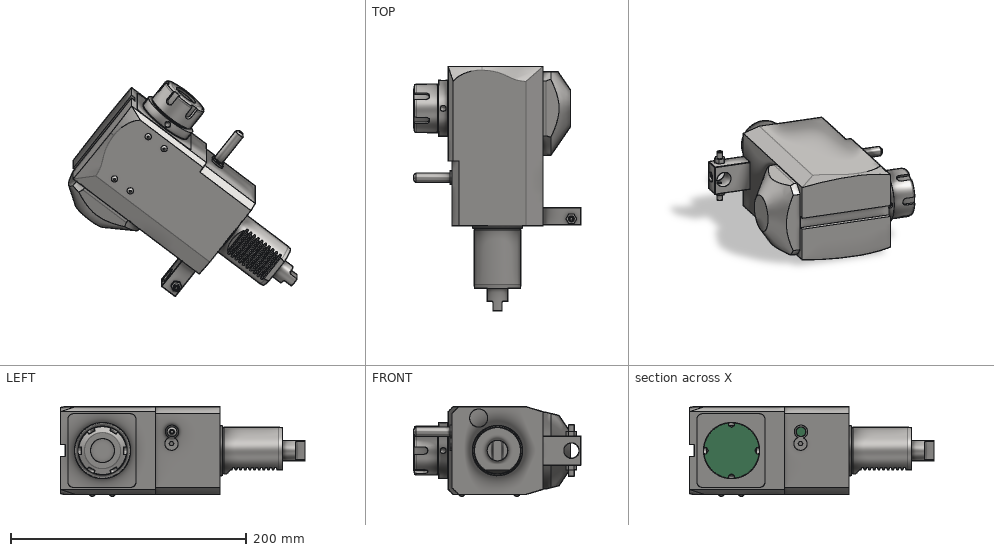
import cadquery as cq
import math


OVERALL_LENGTH = 208.0
BODY_LENGTH = 135.8
BODY_HALF_HEIGHT = 37.5
BODY_RIGHT = 39.0
FRONT_LEFT = -39.0
FRONT_LENGTH = 55.1
FRONT_CHAMFER = 6.0
REAR_LEFT = -42.0
REAR_CHAMFER = 4.4
TAPER_START = 24.1
TAPER_DROP = 4.4
PLATE_BACK = 129.5
PLATE_FRONT = 71.5
PLATE_HALF_HEIGHT = 31.5
PLATE_CORNER = 5.0
PLATE_DEPTH = 0.2

CROWN_DEPTH = 13.0
CROWN_REAR_LEFT = (-28.0, 35.5)
CROWN_REAR_PEAK = (-13.3, 36.6)
CROWN_REAR_RIGHT = (12.5, 36.0)
CROWN_INNER_LEFT = (-25.4, 40.0)
CROWN_INNER_PEAK = (-13.3, 40.0)
CROWN_INNER_RIGHT = (5.5, 38.3)

NOTCH_WIDTH = 10.0
NOTCH_DEPTH = 4.0
PLUG_X = -16.0
PLUG_Z = 27.7
PLUG_RADIUS = 7.7
PLUG_DEPTH = 0.5

SHANK_RADIUS = 20.0
SHANK_END = -53.0
SHANK_TAPER = 3.3
SHANK_END_RADIUS = 19.5
RING_RADIUS = 21.5
RING_WIDTH = 1.9
NECK_RADIUS = 19.5
NECK_END = -3.3
RACK_FLAT = -16.5
RACK_START = -9.0
TOOTH_COUNT = 10
TOOTH_PITCH = 4.0
TOOTH_DEPTH = 1.9
GROOVE_TOP = 3.0
GROOVE_BOTTOM = 1.2
FIRST_GROOVE = -11.5
TANG_RADIUS = 8.7
TANG_END = BODY_LENGTH - OVERALL_LENGTH
BLADE_START = -64.0
BLADE_HALF_WIDTH = 4.0
BLADE_FILLET = 1.2

SPINDLE_Y = 100.0
COLLAR_RADIUS = 24.0
COLLAR_FACE = -50.1
COLLAR_BACK = -42.5
COLLAR_NECK = 23.3
COLLAR_HOLE_X = -46.2
COLLAR_HOLE_RADIUS = 2.5
COLLAR_HOLE_DEPTH = 2.5
COLLAR_HOLE_POINT = 1.5
COLLAR_HOLES = 4
NUT_RADIUS = 20.8
NUT_BACK = -51.2
NUT_NECK = 19.5
NUT_TIP = -71.5
NUT_FACE_RADIUS = 15.4
NUT_RIM_RADIUS = 20.4
NUT_RIM_X = -70.5
NUT_EDGE_X = -69.0
BORE_RADIUS = 10.2
BORE_DEPTH = 2.0
NUT_SLOT_ANGLES = (-90, -30, 30, 90, 150, 210)
NUT_SLOT_WIDTH = 6.2
NUT_SLOT_END = -59.3
UPPER_SLOT_END = -57.8
NUT_SLOT_FLOOR = 17.9

CAP_RADIUS = 40.1
CAP_CONE_START = 45.3
CAP_END = 62.2
CAP_END_RADIUS = 15.5
CAP_REAR_FLAT = 31.2
CAP_SIDE = 32.7
CAP_SLOPE_START = 41.4
CAP_SIDE_END = 27.5

BRACKET_END = 71.1
BRACKET_HALF_HEIGHT = 12.5
BRACKET_FRONT = 0.8
BRACKET_BACK = 15.8
STUD_X = 62.8
STUD_Y = 6.0
BRACKET_CHAMFER = 0.5
BRACKET_HOLE_RADIUS = 6.5
CROSS_HOLE_RADIUS = 4.2
STUD_POCKET_RADIUS = 1.5
STUD_POCKET_DEPTH = 1.2
HEX_NUT_SIZE = 9.2
HEX_NUT_HEIGHT = 4.0
STUD_RADIUS = 2.5
STUD_END = 22.0
STUD_CHAMFER = 0.5
STUD_SOCKET = 2.5
SOCKET_DEPTH = 1.2

PIN_Y = 41.0
PIN_Z = 16.0
PIN_RADIUS = 4.2
PIN_TIP = -71.5
PIN_CHAMFER = 2.0
PIN_SOCKET = 3.0
HEAD_RADIUS = 5.6
HEAD_HEIGHT = 1.7
LOCK_Y = 41.4
LOCK_Z = 5.8
LOCK_SOCKET = 4.0

FOOT_X = (-30.4, 16.5)
FOOT_Y = (91.7, 108.8)
FOOT_RADIUS = 2.7
FOOT_TIP_RADIUS = 0.8
FOOT_HEIGHT = 1.7


def prism(section, start, end):
    """Extrude a closed list of (x, z) points from y = start to y = end."""
    return cq.Workplane("XZ", origin=(0, start, 0)).polyline(section).close().extrude(start - end)


def box(x_range, y_range, z_range):
    size = [high - low for low, high in (x_range, y_range, z_range)]
    corner = (x_range[0], y_range[0], z_range[0])
    return cq.Workplane("XY").box(*size, centered=False).translate(corner)


def turned_x(profile, y=0, z=0):
    """Revolve a list of (x, radius) points about an axis parallel to X."""
    solid = cq.Workplane("XY").polyline(profile).close().revolve(360, (0, 0, 0), (1, 0, 0))
    return solid.translate((0, y, z))


def hex_socket_x(face_x, y, z, size):
    plane = cq.Workplane("YZ", origin=(face_x, y, z))
    return plane.polygon(6, size).extrude(SOCKET_DEPTH)


def housing_section(left, chamfer):
    top = BODY_HALF_HEIGHT
    upper = [
        (left, top - chamfer),
        (left + chamfer, top),
        (TAPER_START, top),
        (BODY_RIGHT, top - TAPER_DROP),
    ]
    return upper + [(x, -z) for x, z in reversed(upper)]


def crown_cutter():
    """Ruled cut that rounds the upper rear edge, from the rear face to the flat top."""
    top = BODY_HALF_HEIGHT
    outside = 2 * BODY_RIGHT
    rear_edge = (
        0,
        (REAR_LEFT, top - REAR_CHAMFER),
        CROWN_REAR_LEFT,
        CROWN_REAR_PEAK,
        CROWN_REAR_RIGHT,
        (BODY_RIGHT, top - TAPER_DROP),
    )
    inner_edge = (
        CROWN_DEPTH,
        (REAR_LEFT + REAR_CHAMFER, top),
        CROWN_INNER_LEFT,
        CROWN_INNER_PEAK,
        CROWN_INNER_RIGHT,
        (TAPER_START, top),
    )
    wires = []
    for depth, left, left_middle, peak, right_middle, right in (rear_edge, inner_edge):
        outline = (
            cq.Workplane("XZ", origin=(0, BODY_LENGTH - depth, 0))
            .moveTo(-outside, left[1])
            .lineTo(*left)
            .threePointArc(left_middle, peak)
            .threePointArc(right_middle, right)
            .lineTo(outside, right[1])
            .lineTo(outside, outside)
            .lineTo(-outside, outside)
            .close()
        )
        wires.append(outline.val())
    return cq.Workplane(obj=cq.Solid.makeLoft(wires, True))


def housing():
    body = prism(housing_section(FRONT_LEFT, FRONT_CHAMFER), 0, FRONT_LENGTH)
    body = body.union(prism(housing_section(REAR_LEFT, REAR_CHAMFER), FRONT_LENGTH, BODY_LENGTH))
    crown = crown_cutter()
    body = body.cut(crown).cut(crown.mirror("XY"))
    notch = box(
        (REAR_LEFT, BODY_RIGHT),
        (BODY_LENGTH - NOTCH_DEPTH, BODY_LENGTH),
        (-NOTCH_WIDTH / 2, NOTCH_WIDTH / 2),
    )
    plate = box(
        (REAR_LEFT, REAR_LEFT + PLATE_DEPTH),
        (PLATE_FRONT, PLATE_BACK),
        (-PLATE_HALF_HEIGHT, PLATE_HALF_HEIGHT),
    )
    plate = plate.edges("|X").fillet(PLATE_CORNER)
    plug = cq.Workplane("XZ", origin=(PLUG_X, 0, PLUG_Z)).circle(PLUG_RADIUS).extrude(-PLUG_DEPTH)
    return body.cut(notch).cut(plate).cut(plug)


def shank():
    solid = (
        cq.Workplane("XY")
        .moveTo(0, 0)
        .lineTo(NECK_RADIUS, 0)
        .threePointArc((RING_RADIUS, -RING_WIDTH / 2), (NECK_RADIUS, -RING_WIDTH))
        .lineTo(NECK_RADIUS, NECK_END)
        .lineTo(SHANK_RADIUS, NECK_END)
        .lineTo(SHANK_RADIUS, SHANK_END + SHANK_TAPER)
        .lineTo(SHANK_END_RADIUS, SHANK_END)
        .lineTo(0, SHANK_END)
        .close()
        .revolve(360, (0, 0, 0), (0, 1, 0))
    )
    below = RACK_FLAT - RING_RADIUS
    rack = (
        cq.Workplane("YZ", origin=(-RING_RADIUS, 0, 0))
        .polyline([
            (RACK_START, RACK_FLAT),
            (SHANK_END, RACK_FLAT),
            (SHANK_END, below),
            (RACK_START + RING_RADIUS, below),
        ])
        .close()
        .extrude(2 * RING_RADIUS)
    )
    rack = rack.intersect(box((-RING_RADIUS, RING_RADIUS), (SHANK_END, NECK_END), (below, 0)))
    solid = solid.cut(rack)
    for index in range(TOOTH_COUNT):
        groove_y = FIRST_GROOVE - index * TOOTH_PITCH
        groove = (
            cq.Workplane("YZ", origin=(-RING_RADIUS, groove_y, RACK_FLAT))
            .polyline([
                (-GROOVE_TOP / 2, 0),
                (-GROOVE_BOTTOM / 2, TOOTH_DEPTH),
                (GROOVE_BOTTOM / 2, TOOTH_DEPTH),
                (GROOVE_TOP / 2, 0),
            ])
            .close()
            .extrude(2 * RING_RADIUS)
        )
        solid = solid.cut(groove)
    return solid


def tang():
    """Round drive stub that ends in a flat blade with a filleted root."""
    solid = cq.Workplane("XZ", origin=(0, SHANK_END, 0)).circle(TANG_RADIUS).extrude(SHANK_END - TANG_END)
    fillet_middle = BLADE_FILLET * (1 - math.sqrt(0.5))
    for side in (1, -1):
        relief = (
            cq.Workplane("XY", origin=(0, 0, -TANG_RADIUS))
            .moveTo(side * BLADE_HALF_WIDTH, TANG_END)
            .lineTo(side * BLADE_HALF_WIDTH, BLADE_START - BLADE_FILLET)
            .threePointArc(
                (side * (BLADE_HALF_WIDTH + fillet_middle), BLADE_START - fillet_middle),
                (side * (BLADE_HALF_WIDTH + BLADE_FILLET), BLADE_START),
            )
            .lineTo(side * TANG_RADIUS, BLADE_START)
            .lineTo(side * TANG_RADIUS, TANG_END)
            .close()
            .extrude(2 * TANG_RADIUS)
        )
        solid = solid.cut(relief)
    return solid


def nut_slot(inner_end):
    """Spanner slot on the top of the nut, open at the tip and round at its inner end."""
    half = NUT_SLOT_WIDTH / 2
    return (
        cq.Workplane("XY", origin=(0, 0, NUT_SLOT_FLOOR))
        .moveTo(NUT_TIP, -half)
        .lineTo(inner_end - half, -half)
        .threePointArc((inner_end, 0), (inner_end - half, half))
        .lineTo(NUT_TIP, half)
        .close()
        .extrude(NUT_RADIUS)
    )


def collet_nut():
    plate_face = REAR_LEFT + PLATE_DEPTH
    bore_floor = NUT_TIP + BORE_DEPTH
    profile = [
        (plate_face, 0),
        (plate_face, COLLAR_NECK),
        (COLLAR_BACK, COLLAR_NECK),
        (COLLAR_BACK, COLLAR_RADIUS),
        (COLLAR_FACE, COLLAR_RADIUS),
        (COLLAR_FACE, NUT_NECK),
        (NUT_BACK, NUT_NECK),
        (NUT_BACK, NUT_RADIUS),
        (NUT_EDGE_X, NUT_RADIUS),
        (NUT_RIM_X, NUT_RIM_RADIUS),
        (NUT_TIP, NUT_FACE_RADIUS),
        (NUT_TIP, BORE_RADIUS),
        (bore_floor, BORE_RADIUS),
        (bore_floor, 0),
    ]
    solid = turned_x(profile)
    axis_end = (1, 0, 0)
    for angle in NUT_SLOT_ANGLES:
        inner_end = UPPER_SLOT_END if abs(angle) < 90 else NUT_SLOT_END
        solid = solid.cut(nut_slot(inner_end).rotate((0, 0, 0), axis_end, angle))
    hole_floor = COLLAR_RADIUS - COLLAR_HOLE_DEPTH
    hole = (
        cq.Workplane("XZ")
        .polyline([
            (0, hole_floor - COLLAR_HOLE_POINT),
            (COLLAR_HOLE_RADIUS, hole_floor),
            (COLLAR_HOLE_RADIUS, COLLAR_RADIUS + COLLAR_HOLE_DEPTH),
            (0, COLLAR_RADIUS + COLLAR_HOLE_DEPTH),
        ])
        .close()
        .revolve(360, (0, 0, 0), (0, 1, 0))
        .translate((COLLAR_HOLE_X, 0, 0))
    )
    for index in range(COLLAR_HOLES):
        solid = solid.cut(hole.rotate((0, 0, 0), axis_end, index * 360 / COLLAR_HOLES))
    return solid.translate((0, SPINDLE_Y, 0))


def bearing_cap():
    """Cone-ended cap, trimmed by two sloping side planes and a flat towards the rear."""
    cap = turned_x([
        (BODY_RIGHT, 0),
        (BODY_RIGHT, CAP_RADIUS),
        (CAP_CONE_START, CAP_RADIUS),
        (CAP_END, CAP_END_RADIUS),
        (CAP_END, 0),
    ])
    envelope = prism(
        [
            (BODY_RIGHT, CAP_SIDE),
            (CAP_SLOPE_START, CAP_SIDE),
            (CAP_END, CAP_SIDE_END),
            (CAP_END, -CAP_SIDE_END),
            (CAP_SLOPE_START, -CAP_SIDE),
            (BODY_RIGHT, -CAP_SIDE),
        ],
        -CAP_RADIUS,
        CAP_REAR_FLAT,
    )
    return cap.intersect(envelope).translate((0, SPINDLE_Y, 0))


def clamp_stud():
    """Hex nut and stud end standing on the top of the bracket."""
    base = cq.Workplane("XY", origin=(STUD_X, STUD_Y, BRACKET_HALF_HEIGHT))
    hex_nut = base.polygon(6, HEX_NUT_SIZE).extrude(HEX_NUT_HEIGHT)
    stud = base.circle(STUD_RADIUS).extrude(STUD_END - BRACKET_HALF_HEIGHT)
    stud = stud.faces(">Z").chamfer(STUD_CHAMFER)
    socket = (
        cq.Workplane("XY", origin=(STUD_X, STUD_Y, STUD_END))
        .polygon(6, STUD_SOCKET)
        .extrude(-SOCKET_DEPTH)
    )
    return hex_nut.union(stud).cut(socket)


def bracket():
    arm = box(
        (BODY_RIGHT, BRACKET_END),
        (BRACKET_FRONT, BRACKET_BACK),
        (-BRACKET_HALF_HEIGHT, BRACKET_HALF_HEIGHT),
    )
    arm = arm.edges("|X or >X").chamfer(BRACKET_CHAMFER)
    main_hole = (
        cq.Workplane("XZ", origin=(STUD_X, BRACKET_FRONT, 0))
        .circle(BRACKET_HOLE_RADIUS)
        .extrude(BRACKET_FRONT - BRACKET_BACK)
    )
    cross_hole = (
        cq.Workplane("YZ", origin=(STUD_X, STUD_Y, 0))
        .circle(CROSS_HOLE_RADIUS)
        .extrude(BRACKET_END - STUD_X)
    )
    pocket_reach = BRACKET_HOLE_RADIUS + STUD_POCKET_DEPTH
    pockets = (
        cq.Workplane("XY", origin=(STUD_X, STUD_Y, -pocket_reach))
        .circle(STUD_POCKET_RADIUS)
        .extrude(2 * pocket_reach)
    )
    stud = clamp_stud()
    return arm.cut(main_hole).cut(cross_hole).cut(pockets).union(stud).union(stud.mirror("XY"))


def coolant_pin():
    head_face = FRONT_LEFT - HEAD_HEIGHT
    pin = turned_x(
        [
            (FRONT_LEFT, 0),
            (FRONT_LEFT, HEAD_RADIUS),
            (head_face, HEAD_RADIUS),
            (head_face, PIN_RADIUS),
            (PIN_TIP + PIN_CHAMFER, PIN_RADIUS),
            (PIN_TIP, PIN_RADIUS - PIN_CHAMFER),
            (PIN_TIP, 0),
        ],
        PIN_Y,
        PIN_Z,
    )
    return pin.cut(hex_socket_x(PIN_TIP, PIN_Y, PIN_Z, PIN_SOCKET))


def locking_screw():
    head_face = FRONT_LEFT - HEAD_HEIGHT
    head = cq.Workplane("YZ", origin=(head_face, LOCK_Y, LOCK_Z)).circle(HEAD_RADIUS).extrude(HEAD_HEIGHT)
    return head.cut(hex_socket_x(head_face, LOCK_Y, LOCK_Z, LOCK_SOCKET))


def foot_screws():
    cone = cq.Solid.makeCone(
        FOOT_RADIUS,
        FOOT_TIP_RADIUS,
        FOOT_HEIGHT,
        cq.Vector(0, 0, -BODY_HALF_HEIGHT),
        cq.Vector(0, 0, -1),
    )
    return [cone.translate(cq.Vector(x, y, 0)) for x in FOOT_X for y in FOOT_Y]


result = housing()
for feature in (shank(), tang(), collet_nut(), bearing_cap(), bracket(), coolant_pin(), locking_screw()):
    result = result.union(feature)
for screw in foot_screws():
    result = result.union(cq.Workplane(obj=screw))